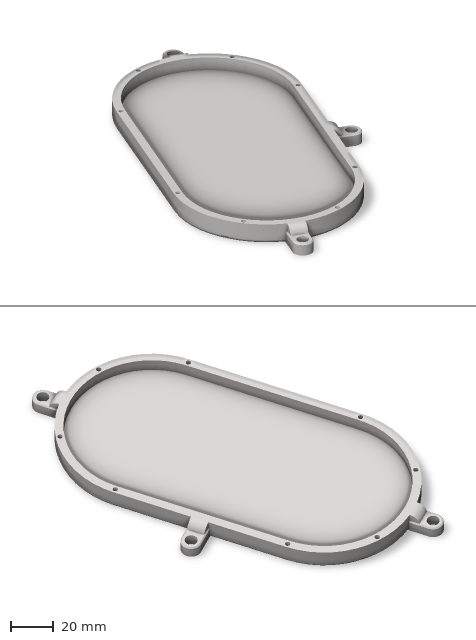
import cadquery as cq
import math

straight_length = 87.5
body_width = 91.0
body_height = 10.0
wall = 4.2
floor_thickness = 3.3
bottom_edge_radius = 1.9

rim_hole_diameter = 2.5
rim_hole_angle = 32.0

overall_length = 208.4
overall_width = 106.3
lug_width = 10.0
lug_height = 6.0
lug_hole_diameter = 6.0
lug_edge_chamfer = 0.6
ramp_radius = body_height / 2

body_radius = body_width / 2
body_length = straight_length + body_width
lug_radius = lug_width / 2
end_lug_reach = (overall_length - body_length) / 2
side_lug_reach = overall_width - body_width


def make_tray():
    """Shallow tray with a rounded edge around its bottom edge."""
    outer = cq.Workplane("XY").slot2D(body_length, body_width).extrude(body_height)
    outer = outer.faces("<Z").edges().fillet(bottom_edge_radius)
    pocket = (
        cq.Workplane("XY", origin=(0, 0, floor_thickness))
        .slot2D(body_length - 2 * wall, body_width - 2 * wall)
        .extrude(body_height)
    )
    return outer.cut(pocket)


def make_lug(reach):
    """Lug along +X; the tray's outer face is at x = 0 and the lug starts inside the wall."""
    hole_x = reach - lug_radius
    root_x = -wall / 2
    ramp_width = lug_width - 2 * lug_edge_chamfer

    lug = (
        cq.Workplane("XY")
        .moveTo(root_x, -lug_radius)
        .lineTo(hole_x, -lug_radius)
        .threePointArc((reach, 0), (hole_x, lug_radius))
        .lineTo(root_x, lug_radius)
        .close()
        .extrude(lug_height)
    )
    lug = lug.faces(">Z").edges("not <X").chamfer(lug_edge_chamfer)
    ramp = (
        cq.Workplane("XZ")
        .moveTo(root_x, body_height - ramp_radius)
        .lineTo(ramp_radius, body_height - ramp_radius)
        .radiusArc((0, body_height), -ramp_radius)
        .lineTo(root_x, body_height)
        .close()
        .extrude(ramp_width / 2, both=True)
    )
    hole = cq.Workplane("XY").center(hole_x, 0).circle(lug_hole_diameter / 2).extrude(lug_height)
    return lug.union(ramp).cut(hole)


def rim_hole_points():
    """Hole centres on the middle of the rim, around both rounded ends."""
    radius = body_radius - wall / 2
    points = []
    for side in (-1, 1):
        for angle in (-90, -rim_hole_angle, rim_hole_angle, 90):
            x = straight_length / 2 + radius * math.cos(math.radians(angle))
            y = radius * math.sin(math.radians(angle))
            points.append((side * x, y))
    return points


end_lug = make_lug(end_lug_reach).translate((body_length / 2, 0, 0))
side_lug = (
    make_lug(side_lug_reach)
    .rotate((0, 0, 0), (0, 0, 1), 90)
    .translate((0, body_radius, 0))
)

result = make_tray().union(end_lug).union(end_lug.mirror("YZ")).union(side_lug)
rim_holes = (
    cq.Workplane("XY")
    .pushPoints(rim_hole_points())
    .circle(rim_hole_diameter / 2)
    .extrude(body_height)
)
result = result.cut(rim_holes)